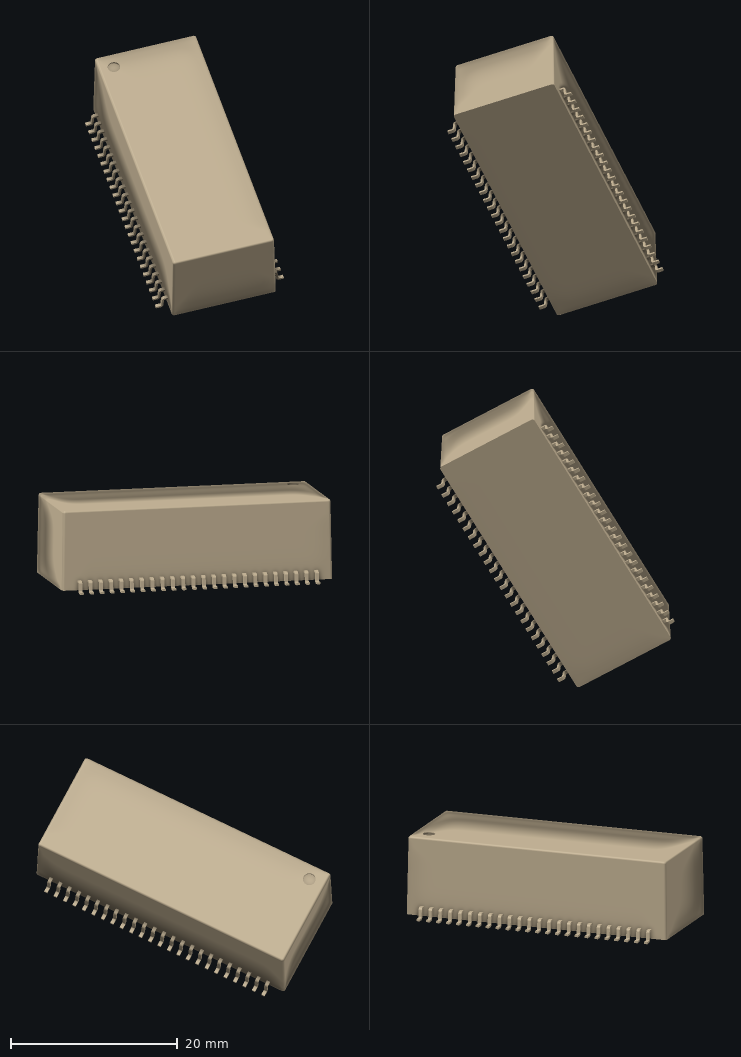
import cadquery as cq
import math

BODY_LENGTH = 33.4
BODY_WIDTH = 13.0
OVERALL_HEIGHT = 10.0
STANDOFF = 0.3
BODY_DRAFT = 1.0
EDGE_RADIUS = 0.3

MARKER_DIAMETER = 1.5
MARKER_X = -14.5
MARKER_Y = -4.5
MARKER_DEPTH = 0.2

LEADS_PER_ROW = 24
LEAD_PITCH = 1.27
LEAD_SPAN = 16.0
LEAD_WIDTH = 0.42
LEAD_THICKNESS = 0.25
LEAD_TOP = 1.5
LEAD_SHOULDER_REACH = 7.22
LEAD_SLOPE = 5.0
LEAD_EMBED = 0.5
BEND_INNER_RADIUS = 0.1
BEND_OUTER_RADIUS = BEND_INNER_RADIUS + LEAD_THICKNESS


def make_body():
    """Tapered block with rounded upright and top edges and a flat base."""
    block = (
        cq.Workplane("XY")
        .workplane(offset=STANDOFF)
        .rect(BODY_LENGTH, BODY_WIDTH)
        .extrude(OVERALL_HEIGHT - STANDOFF, taper=BODY_DRAFT)
    )
    rounded = block.edges("not(#Z)").fillet(EDGE_RADIUS)
    return rounded.faces(">Z").edges().fillet(EDGE_RADIUS)


def make_marker():
    """Cylinder that cuts the pin 1 recess."""
    return (
        cq.Workplane("XY")
        .workplane(offset=OVERALL_HEIGHT - MARKER_DEPTH)
        .center(MARKER_X, MARKER_Y)
        .circle(MARKER_DIAMETER / 2)
        .extrude(MARKER_DEPTH)
    )


def make_lead():
    """One lead on the +Y side, centred on X = 0, with its foot on Z = 0."""
    slope = math.radians(LEAD_SLOPE)
    shank_depth = LEAD_THICKNESS / math.cos(slope)
    toe = LEAD_SPAN / 2
    root = BODY_WIDTH / 2 - LEAD_EMBED
    shoulder_underside = LEAD_TOP - LEAD_THICKNESS

    def shank_outer(z):
        return LEAD_SHOULDER_REACH + (LEAD_TOP - z) * math.tan(slope)

    def shank_inner(z):
        return shank_outer(z) - shank_depth

    shoulder_outer = (shank_outer(LEAD_TOP), LEAD_TOP)
    shoulder_inner = (shank_inner(shoulder_underside), shoulder_underside)
    foot_inner = (shank_outer(LEAD_THICKNESS), LEAD_THICKNESS)
    foot_outer = (shank_inner(0), 0)

    lead = (
        cq.Workplane("YZ")
        .polyline([
            (root, LEAD_TOP),
            shoulder_outer,
            foot_inner,
            (toe, LEAD_THICKNESS),
            (toe, 0),
            foot_outer,
            shoulder_inner,
            (root, shoulder_underside),
        ])
        .close()
        .extrude(LEAD_WIDTH / 2, both=True)
    )

    def round_bend(solid, corner, radius):
        y, z = corner
        edge = solid.edges("|X").edges(cq.NearestToPointSelector((0, y, z)))
        return edge.fillet(radius)

    for corner in (shoulder_inner, foot_inner):
        lead = round_bend(lead, corner, BEND_INNER_RADIUS)
    for corner in (shoulder_outer, foot_outer):
        lead = round_bend(lead, corner, BEND_OUTER_RADIUS)
    return lead


def add_leads(body):
    """Join both rows of leads to the body."""
    back_lead = make_lead().val()
    front_lead = back_lead.mirror("XZ")
    first_x = -LEAD_PITCH * (LEADS_PER_ROW - 1) / 2
    leads = []
    for index in range(LEADS_PER_ROW):
        offset = cq.Vector(first_x + index * LEAD_PITCH, 0, 0)
        leads.append(back_lead.translate(offset))
        leads.append(front_lead.translate(offset))
    return cq.Workplane("XY").newObject([body.val().fuse(*leads)])


result = add_leads(make_body().cut(make_marker()))